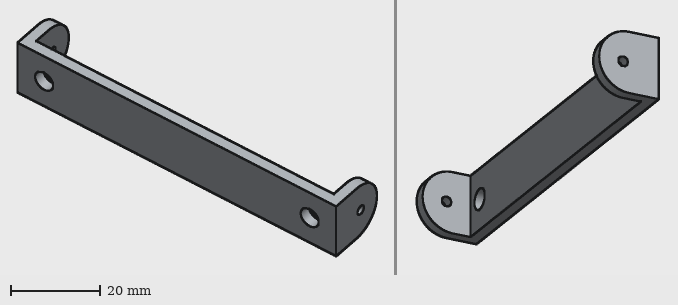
import cadquery as cq

length = 90.0
width = 15.0
depth = 15.0
thickness = width / 5

mount_hole_diameter = 5.0
mount_hole_spacing = length - width
pivot_hole_diameter = 2.3
pivot_hole_offset = 9.0

ear_radius = width / 2
ear_straight = depth - ear_radius


def make_plate():
    """Flat plate lying along X, with its outer face at Y = 0."""
    return cq.Workplane("XY").box(length, thickness, width, centered=(True, False, True))


def make_ear(start_x):
    """Round-ended ear standing off the plate, from start_x towards +X."""
    return (
        cq.Workplane("YZ", origin=(start_x, 0, 0))
        .moveTo(0, -width / 2)
        .lineTo(ear_straight, -width / 2)
        .threePointArc((depth, 0), (ear_straight, width / 2))
        .lineTo(0, width / 2)
        .close()
        .extrude(thickness)
    )


def make_mount_holes():
    """Cutters for the two screw holes through the plate."""
    return (
        cq.Workplane("XZ")
        .pushPoints([(-mount_hole_spacing / 2, 0), (mount_hole_spacing / 2, 0)])
        .circle(mount_hole_diameter / 2)
        .extrude(-thickness)
    )


def make_pivot_bore():
    """Cutter for the pivot hole, in line through both ears."""
    return (
        cq.Workplane("YZ", origin=(-length / 2, 0, 0))
        .center(pivot_hole_offset, 0)
        .circle(pivot_hole_diameter / 2)
        .extrude(length)
    )


bracket = make_plate()
for ear_start in (-length / 2, length / 2 - thickness):
    bracket = bracket.union(make_ear(ear_start))

result = bracket.cut(make_mount_holes()).cut(make_pivot_bore())